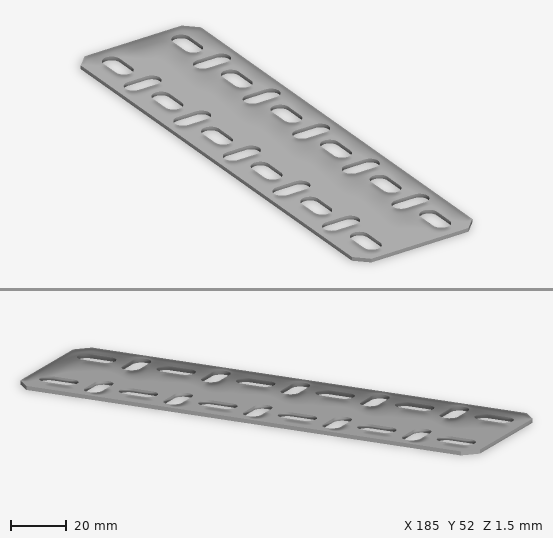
import cadquery as cq

plate_length = 185.0
plate_width = 52.0
plate_thickness = 1.5
corner_chamfer = 5.0

slot_length = 15.0
slot_width = 7.0
slot_pitch = 32.0
row_spacing = 30.0
lengthwise_count = 6
crosswise_count = lengthwise_count - 1


def slot_cutters(count, angle):
    """Both rows of slots, with their long axis turned by angle from X."""
    return (
        cq.Workplane("XY")
        .rarray(slot_pitch, row_spacing, count, 2)
        .slot2D(slot_length, slot_width, angle)
        .extrude(plate_thickness)
    )


plate = (
    cq.Workplane("XY")
    .rect(plate_length, plate_width)
    .extrude(plate_thickness)
    .edges("|Z")
    .chamfer(corner_chamfer)
)

result = plate.cut(slot_cutters(lengthwise_count, 0)).cut(slot_cutters(crosswise_count, 90))